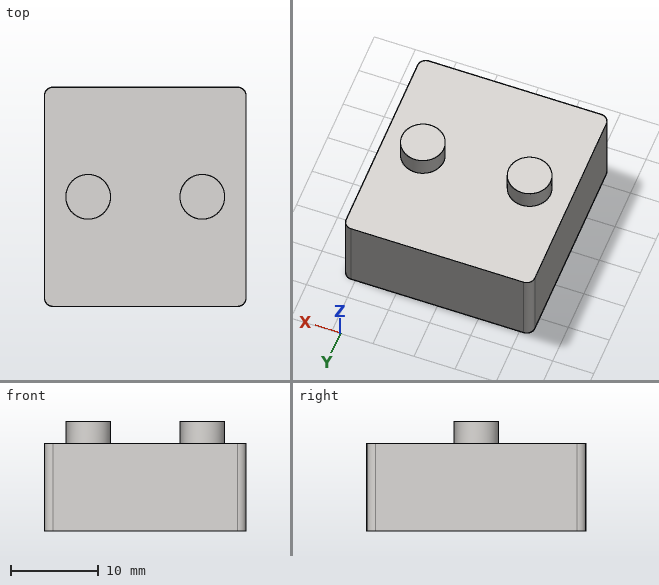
import cadquery as cq

body_width = 23
body_length = 25
body_height = 10
corner_radius = 1

stud_diameter = 5.1
stud_height = 2.5
stud_spacing = 13


def make_body():
    """Rectangular block with rounded vertical corners."""
    block = cq.Workplane("XY").box(body_width, body_length, body_height, centered=(True, True, False))
    return block.edges("|Z").fillet(corner_radius)


def add_studs(body):
    """Stand both studs on the top face, either side of its centre."""
    stud_centres = [(side * stud_spacing / 2, 0) for side in (-1, 1)]
    studs = (
        cq.Workplane("XY", origin=(0, 0, body_height))
        .pushPoints(stud_centres)
        .circle(stud_diameter / 2)
        .extrude(stud_height)
    )
    return body.union(studs)


result = add_studs(make_body())